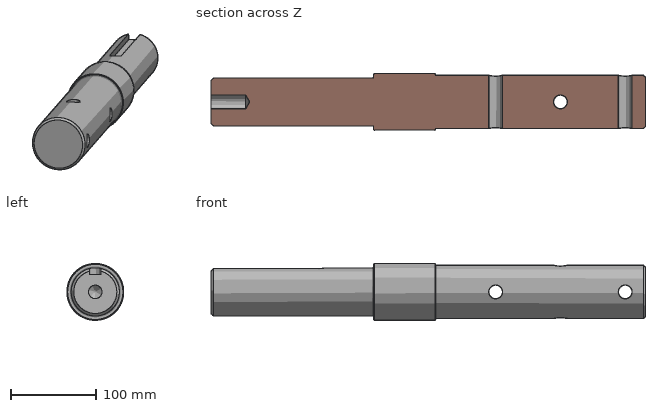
import cadquery as cq
import math

total_length = 510.5
collar_start = 191.0
collar_end = 264.0
left_end = -total_length / 2

drive_diameter = 56.5
collar_diameter = 67.0
tail_diameter = 63.0

drive_chamfer = 3.0
collar_chamfer = 1.0
tail_chamfer = 2.5

root_radius = 0.9

key_width = 14.0
key_length = 134.0
key_floor = 20.5

bore_diameter = 16.0
bore_depth = 41.0
drill_point = 4.5

cross_diameter = 16.0
first_cross = 334.5
cross_pitch = 76.0


def make_body():
    """Three coaxial cylinders with chamfered edges and filleted shoulders, as one revolved profile."""
    drive_radius = drive_diameter / 2
    collar_radius = collar_diameter / 2
    tail_radius = tail_diameter / 2
    arc_inset = root_radius * (1 - math.sqrt(0.5))
    profile = (
        cq.Workplane("XY")
        .lineTo(0, drive_radius - drive_chamfer)
        .lineTo(drive_chamfer, drive_radius)
        .lineTo(collar_start - root_radius, drive_radius)
        .threePointArc(
            (collar_start - arc_inset, drive_radius + arc_inset),
            (collar_start, drive_radius + root_radius),
        )
        .lineTo(collar_start, collar_radius - collar_chamfer)
        .lineTo(collar_start + collar_chamfer, collar_radius)
        .lineTo(collar_end - collar_chamfer, collar_radius)
        .lineTo(collar_end, collar_radius - collar_chamfer)
        .lineTo(collar_end, tail_radius + root_radius)
        .threePointArc(
            (collar_end + arc_inset, tail_radius + arc_inset),
            (collar_end + root_radius, tail_radius),
        )
        .lineTo(total_length - tail_chamfer, tail_radius)
        .lineTo(total_length, tail_radius - tail_chamfer)
        .lineTo(total_length, 0)
        .close()
    )
    body = profile.revolve(360, (0, 0), (1, 0))
    return body.translate((left_end, 0, 0))


def make_keyway():
    """Flat-bottomed slot with a round inner end."""
    half_width = key_width / 2
    inner_end = left_end + key_length
    arc_start = inner_end - half_width
    return (
        cq.Workplane("XY", origin=(0, 0, key_floor))
        .moveTo(left_end, -half_width)
        .lineTo(arc_start, -half_width)
        .threePointArc((inner_end, 0), (arc_start, half_width))
        .lineTo(left_end, half_width)
        .close()
        .extrude(drive_diameter / 2)
    )


def make_bore():
    """Blind centre hole ending in a cone."""
    profile = [
        (0, 0),
        (0, bore_diameter / 2),
        (bore_depth, bore_diameter / 2),
        (bore_depth + drill_point, 0),
    ]
    bore = cq.Workplane("XY").polyline(profile).close().revolve(360, (0, 0), (1, 0))
    return bore.translate((left_end, 0, 0))


def make_cross_hole(plane, station):
    """Through hole across the tail, normal to the given plane."""
    return (
        cq.Workplane(plane)
        .center(left_end + station, 0)
        .circle(cross_diameter / 2)
        .extrude(tail_diameter, both=True)
    )


result = make_body().cut(make_keyway()).cut(make_bore())
for index, plane in enumerate(["XZ", "XY", "XZ"]):
    result = result.cut(make_cross_hole(plane, first_cross + index * cross_pitch))